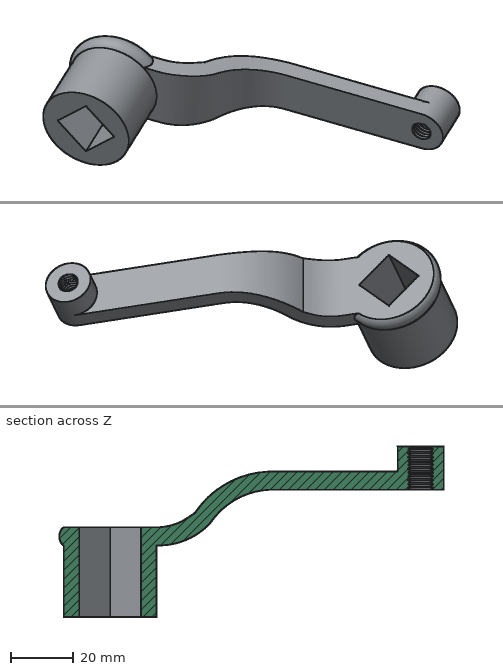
import cadquery as cq
import math

hub_diameter = 30.0
hub_length = 23.0
rim_diameter = 32.8
square_side = 14.0

arm_thickness = 6.0
arm_offset = 18.0
bend_inner_radius = 18.0
bend_outer_radius = 24.0
bend_start_x = hub_diameter / 2
outer_bend_top_radius = 30.0
outer_bend_bottom_radius = outer_bend_top_radius - arm_thickness
bend_end_x = 52.3

hub_end_width = 21.9
taper_start_x = 19.8
taper_end_x = 50.8

boss_diameter = 15.0
boss_x = 124 - rim_diameter / 2 - boss_diameter / 2
total_depth = 55.0
hole_diameter = 6.5
thread_diameter = 8.0
thread_pitch = 1.2

hub_back = hub_length + arm_thickness
bar_front = hub_length + arm_offset
bar_back = bar_front + arm_thickness

first_center = (bend_start_x, hub_back + bend_inner_radius)
second_center = (bend_end_x, bar_back - outer_bend_top_radius)

back_joint = (24.9, 27.4)
front_joint = (31.9, 33.3)


def first_curve(radius, x):
    """Point on the first bend, below its centre."""
    center_x, center_y = first_center
    return x, center_y - math.sqrt(radius**2 - (x - center_x) ** 2)


def second_curve(radius, x):
    """Point on the second bend, above its centre."""
    center_x, center_y = second_center
    return x, center_y + math.sqrt(radius**2 - (x - center_x) ** 2)


def midpoint(start, end):
    return (start + end) / 2


def cylinder_along_y(x, diameter, start_y, end_y):
    return (
        cq.Workplane("XZ", origin=(x, start_y, 0))
        .circle(diameter / 2)
        .extrude(start_y - end_y)
    )


def make_hub():
    """Barrel with a rounded rim at its back end."""
    radius = hub_diameter / 2
    return (
        cq.Workplane("XY")
        .lineTo(radius, 0)
        .lineTo(radius, hub_length)
        .threePointArc((rim_diameter / 2, midpoint(hub_length, hub_back)), (radius, hub_back))
        .lineTo(0, hub_back)
        .close()
        .revolve(360, (0, 0, 0), (0, 1, 0))
    )


def make_arm():
    """Side profile of the bent bar, trimmed to its tapering width."""
    back_first, back_second = back_joint
    front_first, front_second = front_joint
    profile = (
        cq.Workplane("XY")
        .moveTo(0, hub_length)
        .lineTo(bend_start_x, hub_length)
        .threePointArc(
            first_curve(bend_outer_radius, midpoint(bend_start_x, front_first)),
            first_curve(bend_outer_radius, front_first),
        )
        .lineTo(*second_curve(outer_bend_bottom_radius, front_second))
        .threePointArc(
            second_curve(outer_bend_bottom_radius, midpoint(front_second, bend_end_x)),
            (bend_end_x, bar_front),
        )
        .lineTo(boss_x + boss_diameter / 2, bar_front)
        .lineTo(boss_x + boss_diameter / 2, bar_back)
        .lineTo(bend_end_x, bar_back)
        .threePointArc(
            second_curve(outer_bend_top_radius, midpoint(bend_end_x, back_second)),
            second_curve(outer_bend_top_radius, back_second),
        )
        .lineTo(*first_curve(bend_inner_radius, back_first))
        .threePointArc(
            first_curve(bend_inner_radius, midpoint(back_first, bend_start_x)),
            (bend_start_x, hub_back),
        )
        .lineTo(0, hub_back)
        .close()
        .extrude(hub_end_width / 2, both=True)
    )
    wide = hub_end_width / 2
    narrow = boss_diameter / 2
    outline = (
        cq.Workplane("XZ")
        .moveTo(0, -wide)
        .lineTo(taper_start_x, -wide)
        .spline([(taper_end_x, -narrow)], tangents=[(1, 0), (1, 0)], includeCurrent=True)
        .lineTo(boss_x, -narrow)
        .threePointArc((boss_x + narrow, 0), (boss_x, narrow))
        .lineTo(taper_end_x, narrow)
        .spline([(taper_start_x, wide)], tangents=[(-1, 0), (-1, 0)], includeCurrent=True)
        .lineTo(0, wide)
        .close()
        .extrude(-total_depth)
    )
    return profile.intersect(outline)


def make_square_socket():
    """Square hole through the hub, standing on its corner."""
    return (
        cq.Workplane("XZ")
        .transformed(rotate=(0, 0, 45))
        .rect(square_side, square_side)
        .extrude(-hub_back)
    )


def make_threaded_hole():
    """Through hole with thread turns simplified to V-shaped rings."""
    crest = hole_diameter / 2
    root = thread_diameter / 2
    turns = math.floor((total_depth - bar_front) / thread_pitch)
    profile = cq.Workplane("XY", origin=(boss_x, 0, 0)).moveTo(0, bar_front).lineTo(crest, bar_front)
    for turn in range(turns):
        turn_start = bar_front + turn * thread_pitch
        profile = profile.lineTo(root, turn_start + thread_pitch / 2)
        profile = profile.lineTo(crest, turn_start + thread_pitch)
    return (
        profile.lineTo(crest, total_depth)
        .lineTo(0, total_depth)
        .close()
        .revolve(360, (0, 0, 0), (0, 1, 0))
    )


boss = cylinder_along_y(boss_x, boss_diameter, bar_front, total_depth)

result = (
    make_hub()
    .union(make_arm())
    .union(boss)
    .cut(make_square_socket())
    .cut(make_threaded_hole())
)